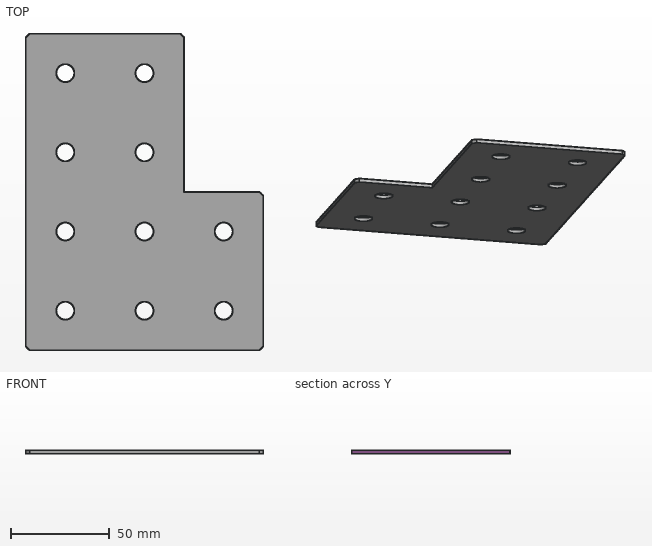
import cadquery as cq

pitch = 40.0
columns = 3
rows = 4
arm_columns = 2
foot_rows = 2
thickness = 2.0
hole_diameter = 9.0
corner_chamfer = 2.0

width = columns * pitch
length = rows * pitch
arm_width = arm_columns * pitch
foot_length = foot_rows * pitch


def plate_blank():
    """L-shaped plate, centred on its outer size, with its outer corners chamfered."""
    plate = cq.Workplane("XY").box(width, length, thickness)
    notch_width = width - arm_width
    notch_length = length - foot_length
    notch = (
        cq.Workplane("XY")
        .box(notch_width, notch_length, thickness)
        .translate(((width - notch_width) / 2, (length - notch_length) / 2, 0))
    )
    inner_corner = cq.selectors.NearestToPointSelector(
        (width / 2 - notch_width, length / 2 - notch_length, 0)
    )
    outer_corners = cq.StringSyntaxSelector("|Z") - inner_corner
    return plate.cut(notch).edges(outer_corners).chamfer(corner_chamfer)


def hole_centres():
    """Centre of every grid cell that lies on the L."""
    return [
        ((column + 0.5) * pitch - width / 2, (row + 0.5) * pitch - length / 2)
        for column in range(columns)
        for row in range(rows)
        if column < arm_columns or row < foot_rows
    ]


holes = (
    cq.Workplane("XY")
    .pushPoints(hole_centres())
    .circle(hole_diameter / 2)
    .extrude(thickness, both=True)
)

result = plate_blank().cut(holes)